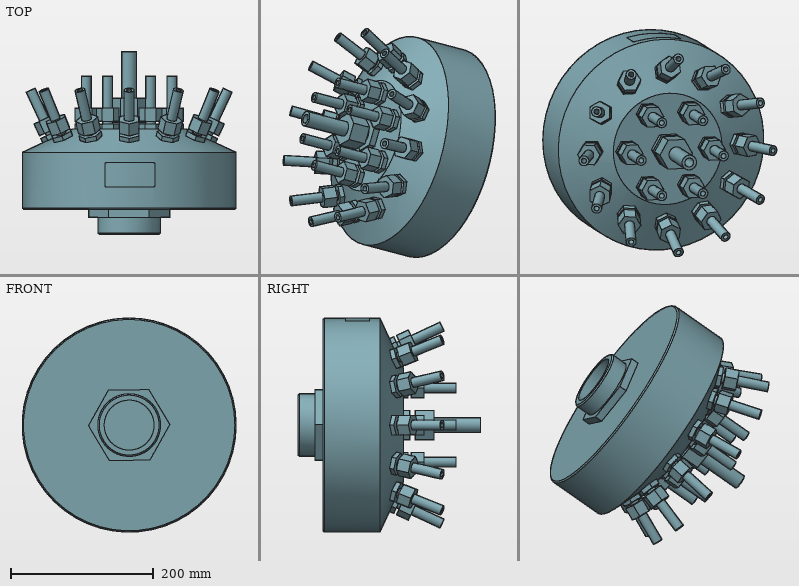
import cadquery as cq
import math


drum_diameter = 300.0
drum_height = 80.0
drum_chamfer = 2.0
cone_height = 33.0
cone_angle = 25.0
cone_slope = math.tan(math.radians(cone_angle))
cone_top_radius = drum_diameter / 2 - cone_height / cone_slope
top_y = drum_height + cone_height

plate_length = 70.0
plate_width = 34.0
plate_centre_x = 1.0
plate_centre_y = 48.5
plate_corner_radius = 2.0
plate_relief = 0.1
plate_embed = 1.0

collar_flats = 98.6
collar_height = 11.0
collar_twist = 0.8
spigot_diameter = 87.88
spigot_bore = 69.94
spigot_length = 24.0
spigot_chamfer = 2.0

small_jet = {
    "tube_diameter": 14.0,
    "bore_diameter": 7.0,
    "flats": 27.5,
    "base_height": 6.5,
    "nut_start": 10.5,
    "nut_end": 29.0,
    "length": 73.8,
}
centre_jet = {
    "tube_diameter": 21.0,
    "bore_diameter": 12.56,
    "flats": 41.25,
    "base_height": 9.0,
    "nut_start": 16.25,
    "nut_end": 43.0,
    "length": 108.0,
}
inner_jet_count = 6
inner_jet_radius = 60.0
outer_jet_count = 12
outer_jet_radius = 106.8
seat_overlap = 8.0


def hexagon(plane, flats, twist=0.0):
    """Hexagon given by its width across flats, with a corner on local x before the twist."""
    corners = flats / math.cos(math.radians(30))
    return cq.Workplane(plane).transformed(rotate=(0, 0, twist)).polygon(6, corners)


def make_drum():
    radius = drum_diameter / 2
    return (
        cq.Workplane("XY")
        .moveTo(0, 0)
        .lineTo(radius - drum_chamfer, 0)
        .lineTo(radius, drum_chamfer)
        .lineTo(radius, drum_height)
        .lineTo(cone_top_radius, top_y)
        .lineTo(0, top_y)
        .close()
        .revolve(360, (0, 0, 0), (0, 1, 0))
    )


def make_plate():
    """Thin plate that follows the drum wall on the +Z side."""
    shell = (
        cq.Workplane("XZ")
        .circle(drum_diameter / 2 + plate_relief)
        .circle(drum_diameter / 2 - plate_embed)
        .extrude(-drum_height)
    )
    outline = (
        cq.Workplane("XY")
        .center(plate_centre_x, plate_centre_y)
        .rect(plate_length, plate_width)
        .extrude(drum_diameter)
        .edges("|Z")
        .fillet(plate_corner_radius)
    )
    return shell.intersect(outline)


def make_spigot():
    collar = hexagon("XZ", collar_flats, collar_twist).extrude(collar_height)
    pipe = (
        cq.Workplane("XZ")
        .circle(spigot_diameter / 2)
        .extrude(collar_height + spigot_length)
        .faces("<Y")
        .chamfer(spigot_chamfer)
    )
    collar_face = cq.Workplane("XZ", origin=(0, -collar_height, 0))
    bore = collar_face.circle(spigot_bore / 2).extrude(spigot_length)
    return collar.union(pipe).cut(bore)


def jet_plane(radius, angle, tilt, seat_y):
    """Plane on the jet seat: normal along the jet, local x pointing away from the part axis."""
    a = math.radians(angle)
    t = math.radians(tilt)
    outward = cq.Vector(math.cos(a), 0, math.sin(a))
    axial = cq.Vector(0, 1, 0)
    normal = outward * math.sin(t) + axial * math.cos(t)
    local_x = outward * math.cos(t) - axial * math.sin(t)
    return cq.Plane(outward * radius + axial * seat_y, local_x, normal)


def make_jet(plane, jet):
    def raised(height):
        return cq.Plane(plane.toWorldCoords((0, 0, height)), plane.xDir, plane.zDir)

    base = hexagon(raised(-seat_overlap), jet["flats"]).extrude(seat_overlap + jet["base_height"])
    nut = hexagon(raised(jet["nut_start"]), jet["flats"]).extrude(jet["nut_end"] - jet["nut_start"])
    tube = cq.Workplane(plane).circle(jet["tube_diameter"] / 2).extrude(jet["length"])
    bore = cq.Workplane(plane).circle(jet["bore_diameter"] / 2).extrude(jet["length"])
    return base.union(tube).union(nut).cut(bore)


def make_jet_ring(count, radius, tilt, seat_y):
    ring = cq.Workplane("XZ")
    for i in range(count):
        seat = jet_plane(radius, i * 360 / count, tilt, seat_y)
        ring = ring.add(make_jet(seat, small_jet))
    return ring.combine()


outer_seat_y = top_y - (outer_jet_radius - cone_top_radius) * cone_slope

result = (
    make_drum()
    .union(make_plate())
    .union(make_spigot())
    .union(make_jet(jet_plane(0, 0, 0, top_y), centre_jet))
    .union(make_jet_ring(inner_jet_count, inner_jet_radius, 0, top_y))
    .union(make_jet_ring(outer_jet_count, outer_jet_radius, cone_angle, outer_seat_y))
)